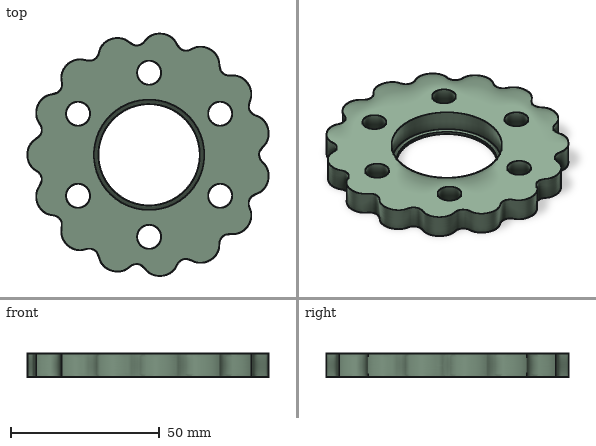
import cadquery as cq
import math

thickness = 8.0
lobe_count = 15

roller_count = lobe_count + 1
crest_diameter = 81.95
valley_diameter = 73.95
roller_radius = 3.0
eccentricity = (crest_diameter - valley_diameter) / 4
roller_circle_radius = (crest_diameter + valley_diameter) / 4 + roller_radius
points_per_lobe = 24

bearing_seat_diameter = 37.1
bore_diameter = 34.0
bearing_seat_depth = 7.0

pin_hole_count = 6
pin_hole_diameter = 8.0
pin_circle_radius = 27.6
first_pin_angle = 90


def rim_point(angle):
    """Point on the rim: the roller centre path offset inward by the roller radius."""
    x = roller_circle_radius * math.cos(angle) - eccentricity * math.cos(roller_count * angle)
    y = roller_circle_radius * math.sin(angle) - eccentricity * math.sin(roller_count * angle)
    loop_radius = eccentricity * roller_count
    tangent_x = loop_radius * math.sin(roller_count * angle) - roller_circle_radius * math.sin(angle)
    tangent_y = roller_circle_radius * math.cos(angle) - loop_radius * math.cos(roller_count * angle)
    offset = roller_radius / math.hypot(tangent_x, tangent_y)
    return x - offset * tangent_y, y + offset * tangent_x


def lobed_plate():
    """Plate with a valley of the rim on the +X axis."""
    point_count = lobe_count * points_per_lobe
    rim = [rim_point(2 * math.pi * i / point_count) for i in range(point_count)]
    return cq.Workplane("XY").spline(rim, periodic=True).close().extrude(thickness)


def stepped_bore():
    """Through bore with a wider bearing seat sunk from the top face."""
    through = cq.Workplane("XY").circle(bore_diameter / 2).extrude(thickness)
    seat = (
        cq.Workplane("XY", origin=(0, 0, thickness))
        .circle(bearing_seat_diameter / 2)
        .extrude(-bearing_seat_depth)
    )
    return through.union(seat)


def pin_holes():
    """Ring of through holes for the output pins."""
    return (
        cq.Workplane("XY")
        .polarArray(pin_circle_radius, first_pin_angle, 360, pin_hole_count)
        .circle(pin_hole_diameter / 2)
        .extrude(thickness)
    )


result = lobed_plate().cut(stepped_bore()).cut(pin_holes())